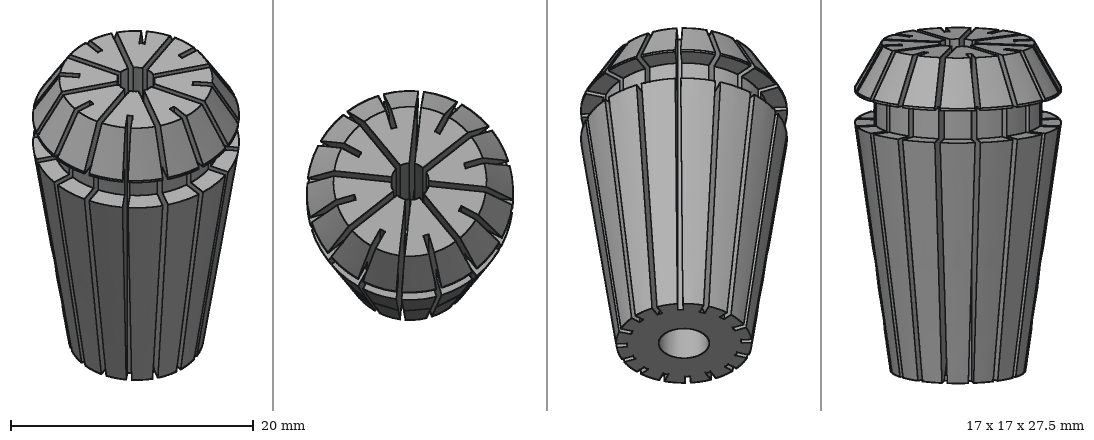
import cadquery as cq
import math

length = 27.5
max_radius = 8.5
body_taper = 8.0
nose_taper = 30.0

body_top = 20.8
groove_width = 2.7
rim_width = 0.2
groove_top = body_top + groove_width
nose_base = groove_top + rim_width
groove_radius = 6.9

base_radius = max_radius - body_top * math.tan(math.radians(body_taper))
nose_radius = max_radius - (length - nose_base) * math.tan(math.radians(nose_taper))

bore_radius = 1.56
relief_radius = 2.08
relief_depth = length / 2

slot_width = 0.45
slot_count = 8
slot_pitch = 360 / slot_count
slot_reach = max_radius + 1.0
short_slot_inner = 4.7
web_base_radius = 4.57
web_height = 3.46


def make_body():
    """Revolve the outer profile: tapered body, groove, rim and nose cone."""
    profile = [
        (0, 0),
        (base_radius, 0),
        (max_radius, body_top),
        (groove_radius, body_top),
        (groove_radius, groove_top),
        (max_radius, groove_top),
        (max_radius, nose_base),
        (nose_radius, length),
        (0, length),
    ]
    return cq.Workplane("XZ").polyline(profile).close().revolve(360, (0, 0), (0, 1))


def make_bore():
    grip = cq.Workplane("XY").circle(bore_radius).extrude(length)
    relief = cq.Workplane("XY").circle(relief_radius).extrude(relief_depth)
    return grip.union(relief)


def make_slot(inner_end):
    """Full-height radial cutter running outwards from the given radius."""
    slot_length = slot_reach - inner_end
    slot = cq.Workplane("XY").box(slot_length, slot_width, length, centered=(False, True, False))
    return slot.translate((inner_end, 0, 0))


def make_web_cone():
    """Cone, kept out of the long slots, that leaves a sloping web at the small end."""
    web_slope = (web_base_radius - relief_radius) / web_height
    apex_height = web_base_radius / web_slope
    profile = [(0, 0), (web_base_radius, 0), (0, apex_height)]
    return cq.Workplane("XZ").polyline(profile).close().revolve(360, (0, 0), (0, 1))


def cut_around(part, cutter, start_angle):
    """Cut evenly spaced copies of the cutter about the axis."""
    for index in range(slot_count):
        angle = start_angle + index * slot_pitch
        part = part.cut(cutter.rotate((0, 0, 0), (0, 0, 1), angle))
    return part


long_slot = make_slot(0).cut(make_web_cone())
short_slot = make_slot(short_slot_inner)

collet = make_body().cut(make_bore())
collet = cut_around(collet, long_slot, 0)
collet = cut_around(collet, short_slot, slot_pitch / 2)
result = collet.solids()